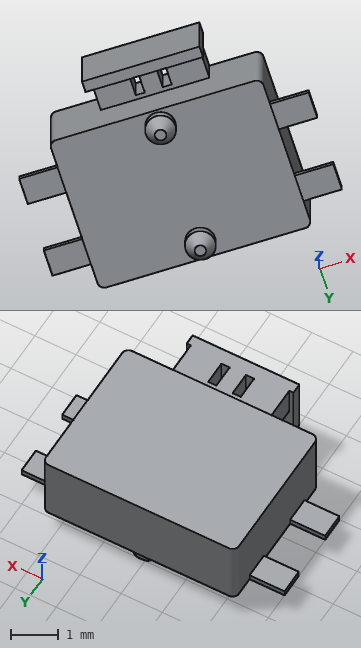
import cadquery as cq

overall_length = 6.4

housing_length = 4.7
housing_width = 3.5
housing_height = 1.65
corner_radius = 0.155
front_face_y = -housing_width / 2

peg_diameter = 0.65
peg_tip_diameter = 0.24
peg_height = 0.5
peg_straight_height = 0.205
peg_spacing = 2.745

terminal_length = (overall_length - housing_length) / 2
terminal_width = 0.6
terminal_thickness = 0.14
terminal_spacing = 1.7

actuator_reach = 1.0
stem_width = 2.4
stem_height = 0.7
plate_width = 2.6
plate_thickness = 0.25
plate_height = 1.4
stem_length = actuator_reach - plate_thickness

slot_width = 0.2
slot_length = 0.56
slot_spacing = 0.595
slot_setback = 0.095


def make_peg(center_y):
    """Round peg with a conical tip, pointing down from the housing underside."""
    profile = [
        (0, 0),
        (peg_diameter / 2, 0),
        (peg_diameter / 2, -peg_straight_height),
        (peg_tip_diameter / 2, -peg_height),
        (0, -peg_height),
    ]
    peg = cq.Workplane("XZ").polyline(profile).close().revolve(360, (0, 0, 0), (0, 1, 0))
    return peg.translate((0, center_y, 0))


def make_housing():
    """Block with rounded upright edges and two pegs on its underside."""
    body = cq.Workplane("XY").box(
        housing_length, housing_width, housing_height, centered=(True, True, False)
    )
    body = body.edges("|Z").fillet(corner_radius)
    for side in (-1, 1):
        body = body.union(make_peg(side * peg_spacing / 2))
    return body


def make_terminal(side_x, side_y):
    """Flat solder terminal standing out from one end face, level with the underside."""
    terminal = cq.Workplane("XY").box(
        terminal_length, terminal_width, terminal_thickness, centered=(True, True, False)
    )
    center_x = side_x * (housing_length + terminal_length) / 2
    return terminal.translate((center_x, side_y * terminal_spacing / 2, 0))


def make_actuator():
    """Stem with two through slots and a taller push plate, flush with the housing top."""
    top = cq.Workplane("XY", origin=(0, front_face_y, housing_height))
    stem = top.center(0, -stem_length / 2).rect(stem_width, stem_length).extrude(-stem_height)
    plate_center_y = -stem_length - plate_thickness / 2
    plate = top.center(0, plate_center_y).rect(plate_width, plate_thickness).extrude(-plate_height)
    slot_center_y = -slot_setback - slot_length / 2
    slots = (
        top.center(0, slot_center_y)
        .rarray(slot_spacing, 0.065, 2, 1)
        .rect(slot_width, slot_length)
        .extrude(-stem_height)
    )
    return stem.union(plate).cut(slots)


housing = make_housing()
actuator = make_actuator()
terminals = [make_terminal(side_x, side_y) for side_x in (-1, 1) for side_y in (-1, 1)]

result = cq.Compound.makeCompound(
    [housing.val(), actuator.val(), *[terminal.val() for terminal in terminals]]
)